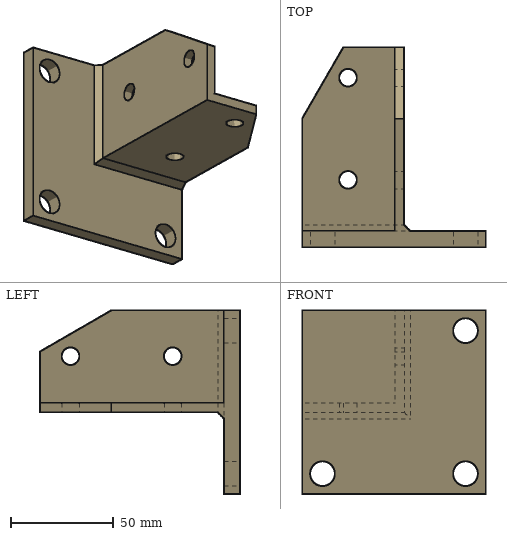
import cadquery as cq
import math

plate_size = 90.0
plate_thickness = 8.0
plate_hole_diameter = 12.0
plate_hole_inset = 10.0

total_depth = 98.0
web_width = 50.0
web_thickness = 4.7
web_hole_diameter = 8.5
web_hole_edge_distance = 22.5
web_hole_end_distance = 15.0
web_hole_spacing = 50.0

tip_cut_length = 35.0
tip_angle = 60.0
tip_cut_width = tip_cut_length / math.tan(math.radians(tip_angle))

root_bevel = 3.0

outer_corner_z = plate_size - web_width

web_hole_positions = [
    total_depth - web_hole_end_distance - web_hole_spacing,
    total_depth - web_hole_end_distance,
]


def make_plate():
    """Plate with holes in the three corners outside the angle section."""
    plate = cq.Workplane("XY").box(plate_size, plate_thickness, plate_size, centered=False)
    near = plate_hole_inset
    far = plate_size - plate_hole_inset
    drills = (
        cq.Workplane("XZ")
        .pushPoints([(near, near), (far, near), (far, far)])
        .circle(plate_hole_diameter / 2)
        .extrude(-plate_thickness)
    )
    return plate.cut(drills)


def make_web():
    """Web flat on z = 0, with its free edge on x = 0."""
    outline = [
        (0, plate_thickness),
        (web_width, plate_thickness),
        (web_width, total_depth),
        (tip_cut_width, total_depth),
        (0, total_depth - tip_cut_length),
    ]
    web = cq.Workplane("XY").polyline(outline).close().extrude(web_thickness)
    drills = (
        cq.Workplane("XY")
        .pushPoints([(web_hole_edge_distance, y) for y in web_hole_positions])
        .circle(web_hole_diameter / 2)
        .extrude(web_thickness)
    )
    return web.cut(drills)


def place_flat(web):
    """Raise a web so its outer face lies at the angle's corner height."""
    return web.translate((0, 0, outer_corner_z))


def mirror_upright(flat_web):
    """Reflect the flat web across the plate's diagonal to get the upright web."""
    plate_middle = plate_size / 2
    return flat_web.mirror((1, 0, 1), (plate_middle, 0, plate_middle))


def add_root_bevel(body):
    """Bevel the inside corners between the plate and the outer web faces."""
    flat_root = (web_width / 2, plate_thickness, outer_corner_z)
    upright_root = (web_width, plate_thickness, plate_size - web_width / 2)
    flat_edge = body.edges(cq.NearestToPointSelector(flat_root))
    upright_edge = body.edges(cq.NearestToPointSelector(upright_root))
    return flat_edge.add(upright_edge).chamfer(root_bevel)


flat_web = place_flat(make_web())
upright_web = mirror_upright(flat_web)
result = make_plate().union(flat_web).union(upright_web)
result = add_root_bevel(result)